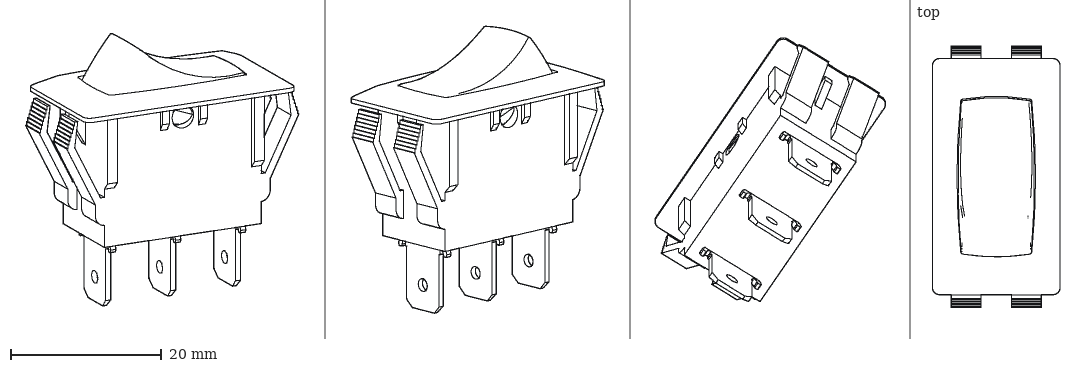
import cadquery as cq
import math

OVERLAP = 0.3

BODY_HALF_X = 6.0
BODY_HALF_Y = 11.72
BODY_BOTTOM = -18.5

BEZEL_HALF_X = 8.5
BEZEL_HALF_Y = 15.7
RIM_HEIGHT = 0.6
BEZEL_TOP = 2.08
BEZEL_CORNER_RADIUS = 1.0
BEZEL_TOP_RADIUS = 1.0
TOP_CORNER = (6.5, 12.3)
TOP_BOW = (0.77, 0.45)

OPENING_CORNER = (4.7, 10.25)
OPENING_BOW = (0.52, 0.4)
OPENING_FLOOR = 0.0
OPENING_CORNER_RADIUS = 0.35

ROCKER_TOP_LIMIT = 9.0
ROCKER_CORNER_X = 4.62
ROCKER_SIDE_BOW = 0.45
ROCKER_SIDE_TAPER = math.radians(1.5)
ROCKER_LOW_END = 10.05
ROCKER_LOW_END_BOW = 0.42
ROCKER_BACK_BOW = 0.55
ROCKER_EDGE_RADIUS = 0.25
BACK_FACE = ((-11.05, 0.0), (-8.4, 4.5), (-4.7, ROCKER_TOP_LIMIT))
FINGER_HIGH_END = (-6.6, 8.93)
FINGER_MIDDLE = (0.0, 3.92)
FINGER_LOW_END = (11.0, 2.45)

PIVOT_Z = -1.93
PIVOT_HOLE_DIAMETER = 3.2
PIVOT_PIN_DIAMETER = 2.95
PIVOT_HOLE_DEPTH = 1.5
PIVOT_PIN_RECESS = 0.15
PIVOT_BEVEL_TILT = 20.0
PIVOT_BEVEL_ANGLE = 30.0
PIVOT_BEVEL_START = 0.55

PIVOT_RIB_HEIGHT = 0.6
CORNER_RIB_HEIGHT = 0.9
PIVOT_RIB_INNER_Y = 2.32
PIVOT_RIB_OUTER_Y = 3.38
PIVOT_RIB_BOTTOM = -3.43
CORNER_RIB_INNER_Y = 10.23
CORNER_RIB_BOTTOM = -10.4
RIB_RAMP_DROP = 0.97

GUSSET_WIDTH = 1.06
GUSSET_TIP_Y = 14.2
GUSSET_TIP_Z = -1.57
GUSSET_BOTTOM = -5.74

CLIP_INNER_X = 2.0
CLIP_OUTER_X = BODY_HALF_X
CLIP_ROOT_Y = 13.07
CLIP_ROOT_RADIUS = 1.5
CLIP_ROOT_BOTTOM = -15.45
CLIP_ROOT_TOP = -12.4
CLIP_NOTCH = (12.3, -11.53)
CLIP_PEAK = (17.35, -4.02)
CLIP_INNER_BEND = (16.15, CLIP_PEAK[1])
CLIP_TIP_INNER_Y = 15.7
CLIP_TIP_OUTER_Y = 16.17
CLIP_TIP_Z = -0.45
CLIP_STEPS = 7

TERMINAL_PITCH = 9.7
TERMINAL_COUNT = 3
TERMINAL_THICKNESS = 0.8
TERMINAL_HALF_WIDTH = 3.15
TERMINAL_BOTTOM = -27.95
TERMINAL_TIP_HALF_WIDTH = 2.12
TERMINAL_TIP_HEIGHT = 1.05
TERMINAL_TIP_BEVEL = 0.12
TERMINAL_TIP_THICKNESS = TERMINAL_THICKNESS - 2 * TERMINAL_TIP_BEVEL
TERMINAL_HOLE_DIAMETER = 1.7
TERMINAL_HOLE_Z = -24.45
SHOULDER_HALF_WIDTH = 3.35
SHOULDER_BOTTOM = -19.7
BARB_ROOT_OUTER_X = 4.32
BARB_OUTER_TIP = (4.66, -19.47)
BARB_BOTTOM = -19.87
BARB_BOTTOM_INNER_X = 4.08
BARB_BOTTOM_OUTER_X = 4.52
BARB_INNER_TIP = (3.95, -19.57)
BARB_INNER_CURVE = (3.7, -18.95)
BARB_INNER_TOP = -18.72


def bowed_outline(z, corner_x, low_corner_y, high_corner_y, bow_x, bow_low_y, bow_high_y):
    """Wire of four arcs at height z, bowed outward between four corners."""
    mid_y = (low_corner_y + high_corner_y) / 2
    return (
        cq.Workplane("XY", origin=(0, 0, z))
        .moveTo(-corner_x, low_corner_y)
        .threePointArc((0, low_corner_y - bow_low_y), (corner_x, low_corner_y))
        .threePointArc((corner_x + bow_x, mid_y), (corner_x, high_corner_y))
        .threePointArc((0, high_corner_y + bow_high_y), (-corner_x, high_corner_y))
        .threePointArc((-corner_x - bow_x, mid_y), (-corner_x, low_corner_y))
        .close()
        .val()
    )


def symmetric_outline(z, corner, bow):
    """Bowed outline that is symmetric about both X and Y."""
    return bowed_outline(z, corner[0], -corner[1], corner[1], bow[0], bow[1], bow[1])


def loft(wires, ruled):
    return cq.Workplane(cq.Solid.makeLoft(wires, ruled))


def prism_along_x(points, x_low, x_high):
    """Polygon of (Y, Z) points extruded from x_low to x_high."""
    return cq.Workplane("YZ", origin=(x_low, 0, 0)).polyline(points).close().extrude(x_high - x_low)


def mirrored_in_x(shape):
    return shape.union(shape.mirror("YZ"))


def mirrored_in_y(shape):
    return shape.union(shape.mirror("XZ"))


def make_bezel():
    rim_outline = (
        cq.Workplane("XY", origin=(0, 0, RIM_HEIGHT))
        .rect(2 * BEZEL_HALF_X, 2 * BEZEL_HALF_Y)
        .val()
    )
    slope = loft([rim_outline, symmetric_outline(BEZEL_TOP, TOP_CORNER, TOP_BOW)], ruled=True)
    rim = (
        cq.Workplane("XY")
        .rect(2 * BEZEL_HALF_X, 2 * BEZEL_HALF_Y)
        .extrude(RIM_HEIGHT)
    )
    bezel = rim.union(slope)
    bezel = bezel.edges("not (>Z or |X or |Y)").fillet(BEZEL_CORNER_RADIUS)
    return bezel.faces(">Z").edges().fillet(BEZEL_TOP_RADIUS)


def make_opening():
    outline = symmetric_outline(OPENING_FLOOR, OPENING_CORNER, OPENING_BOW)
    height = cq.Vector(0, 0, BEZEL_TOP - OPENING_FLOOR + OVERLAP)
    opening = cq.Workplane(cq.Solid.extrudeLinear(outline, [], height))
    return opening.edges("|Z").fillet(OPENING_CORNER_RADIUS)


def make_rocker():
    sections = []
    for back_y, z in BACK_FACE:
        corner_x = ROCKER_CORNER_X - z * math.tan(ROCKER_SIDE_TAPER)
        sections.append(bowed_outline(
            z, corner_x, back_y + ROCKER_BACK_BOW, ROCKER_LOW_END,
            ROCKER_SIDE_BOW, ROCKER_BACK_BOW, ROCKER_LOW_END_BOW,
        ))
    block = loft(sections, ruled=False)
    above_finger_surface = (
        cq.Workplane("YZ", origin=(-BEZEL_HALF_X, 0, 0))
        .moveTo(*FINGER_HIGH_END)
        .threePointArc(FINGER_MIDDLE, FINGER_LOW_END)
        .lineTo(FINGER_LOW_END[0], 2 * ROCKER_TOP_LIMIT)
        .lineTo(FINGER_HIGH_END[0], 2 * ROCKER_TOP_LIMIT)
        .close()
        .extrude(2 * BEZEL_HALF_X)
    )
    rocker = block.cut(above_finger_surface)
    return rocker.edges("not <Z").fillet(ROCKER_EDGE_RADIUS)


def make_pivot():
    """Returns the hole and the bevelled pin inside it, on the -X side."""
    hole_floor = BODY_HALF_X - PIVOT_HOLE_DEPTH
    side = cq.Workplane("YZ", origin=(-BODY_HALF_X, 0, PIVOT_Z))
    hole = side.circle(PIVOT_HOLE_DIAMETER / 2).extrude(PIVOT_HOLE_DEPTH)
    pin_end = -BODY_HALF_X + PIVOT_PIN_RECESS
    pin = (
        cq.Workplane("YZ", origin=(pin_end, 0, PIVOT_Z))
        .circle(PIVOT_PIN_DIAMETER / 2)
        .extrude(-hole_floor + OVERLAP - pin_end)
    )
    reach = 2 * PIVOT_PIN_DIAMETER
    bevel = (
        cq.Workplane("XY")
        .box(reach, 2 * reach, reach, centered=(False, True, False))
        .translate((-reach, 0, -reach))
        .rotate((0, 0, 0), (0, 1, 0), -PIVOT_BEVEL_ANGLE)
        .translate((pin_end, 0, PIVOT_BEVEL_START))
        .rotate((0, 0, 0), (1, 0, 0), -PIVOT_BEVEL_TILT)
        .translate((0, 0, PIVOT_Z))
    )
    return hole, pin.cut(bevel)


def make_side_rib(inner_y, outer_y, bottom, height):
    """Rib on the +X side with a ramped lower end."""
    base_x = BODY_HALF_X - OVERLAP
    crest_x = BODY_HALF_X + height
    profile = [
        (base_x, OVERLAP),
        (crest_x, OVERLAP),
        (crest_x, bottom + RIB_RAMP_DROP),
        (BODY_HALF_X, bottom),
        (base_x, bottom),
    ]
    return (
        cq.Workplane("XZ", origin=(0, outer_y, 0))
        .polyline(profile)
        .close()
        .extrude(outer_y - inner_y)
    )


def make_side_ribs():
    pivot_rib = make_side_rib(
        PIVOT_RIB_INNER_Y, PIVOT_RIB_OUTER_Y, PIVOT_RIB_BOTTOM, PIVOT_RIB_HEIGHT
    )
    corner_rib = make_side_rib(
        CORNER_RIB_INNER_Y, BODY_HALF_Y, CORNER_RIB_BOTTOM, CORNER_RIB_HEIGHT
    )
    return mirrored_in_x(mirrored_in_y(pivot_rib.union(corner_rib)))


def make_gussets():
    base_y = BODY_HALF_Y - OVERLAP
    profile = [
        (base_y, OVERLAP),
        (GUSSET_TIP_Y, OVERLAP),
        (GUSSET_TIP_Y, GUSSET_TIP_Z),
        (BODY_HALF_Y, GUSSET_BOTTOM),
        (base_y, GUSSET_BOTTOM),
    ]
    return mirrored_in_y(prism_along_x(profile, -GUSSET_WIDTH / 2, GUSSET_WIDTH / 2))


def make_clips():
    """Spring arm with a serrated finger grip, repeated at the four places."""
    base_y = BODY_HALF_Y - OVERLAP
    step_y = (CLIP_PEAK[0] - CLIP_TIP_OUTER_Y) / CLIP_STEPS
    step_z = (CLIP_PEAK[1] - CLIP_TIP_Z) / CLIP_STEPS
    arc_offset = CLIP_ROOT_RADIUS * (1 - math.sqrt(0.5))

    profile = (
        cq.Workplane("YZ", origin=(CLIP_INNER_X, 0, 0))
        .moveTo(base_y, CLIP_NOTCH[1])
        .lineTo(*CLIP_NOTCH)
        .lineTo(*CLIP_INNER_BEND)
        .lineTo(CLIP_TIP_INNER_Y, CLIP_TIP_Z)
        .lineTo(CLIP_TIP_OUTER_Y, CLIP_TIP_Z)
    )
    for step in range(CLIP_STEPS):
        y = CLIP_TIP_OUTER_Y + step * step_y
        z = CLIP_TIP_Z + (step + 1) * step_z
        profile = profile.lineTo(y, z).lineTo(y + step_y, z)
    clip = (
        profile
        .lineTo(CLIP_ROOT_Y, CLIP_ROOT_TOP)
        .lineTo(CLIP_ROOT_Y, CLIP_ROOT_BOTTOM + CLIP_ROOT_RADIUS)
        .threePointArc(
            (CLIP_ROOT_Y - arc_offset, CLIP_ROOT_BOTTOM + arc_offset),
            (CLIP_ROOT_Y - CLIP_ROOT_RADIUS, CLIP_ROOT_BOTTOM),
        )
        .lineTo(base_y, CLIP_ROOT_BOTTOM)
        .close()
        .extrude(CLIP_OUTER_X - CLIP_INNER_X)
    )
    return mirrored_in_x(mirrored_in_y(clip))


def make_barb():
    """Curved retaining barb beside the shoulder of a terminal, on the +X side."""
    base_x = SHOULDER_HALF_WIDTH - OVERLAP
    return (
        cq.Workplane("XZ", origin=(0, TERMINAL_THICKNESS / 2, 0))
        .moveTo(base_x, BODY_BOTTOM + OVERLAP)
        .lineTo(BARB_ROOT_OUTER_X, BODY_BOTTOM + OVERLAP)
        .lineTo(BARB_ROOT_OUTER_X, BODY_BOTTOM)
        .lineTo(*BARB_OUTER_TIP)
        .lineTo(BARB_BOTTOM_OUTER_X, BARB_BOTTOM)
        .lineTo(BARB_BOTTOM_INNER_X, BARB_BOTTOM)
        .lineTo(*BARB_INNER_TIP)
        .threePointArc(BARB_INNER_CURVE, (SHOULDER_HALF_WIDTH, BARB_INNER_TOP))
        .lineTo(base_x, BARB_INNER_TOP)
        .close()
        .extrude(TERMINAL_THICKNESS)
    )


def make_terminal():
    half_thickness = TERMINAL_THICKNESS / 2
    tip_start = TERMINAL_BOTTOM + TERMINAL_TIP_HEIGHT
    root = BODY_BOTTOM + OVERLAP
    outline = [
        (-SHOULDER_HALF_WIDTH, root),
        (-SHOULDER_HALF_WIDTH, SHOULDER_BOTTOM),
        (-TERMINAL_HALF_WIDTH, SHOULDER_BOTTOM),
        (-TERMINAL_HALF_WIDTH, tip_start),
        (-TERMINAL_TIP_HALF_WIDTH, TERMINAL_BOTTOM),
    ]
    outline += [(-x, z) for x, z in reversed(outline)]
    blade = (
        cq.Workplane("XZ", origin=(0, half_thickness, 0))
        .polyline(outline)
        .close()
        .extrude(TERMINAL_THICKNESS)
    )
    edge_view = [
        (-half_thickness, root),
        (-half_thickness, tip_start),
        (-TERMINAL_TIP_THICKNESS / 2, TERMINAL_BOTTOM),
        (TERMINAL_TIP_THICKNESS / 2, TERMINAL_BOTTOM),
        (half_thickness, tip_start),
        (half_thickness, root),
    ]
    blade = blade.intersect(prism_along_x(edge_view, -BODY_HALF_X, BODY_HALF_X))
    hole = (
        cq.Workplane("XZ", origin=(0, half_thickness, TERMINAL_HOLE_Z))
        .circle(TERMINAL_HOLE_DIAMETER / 2)
        .extrude(TERMINAL_THICKNESS)
    )
    return blade.cut(hole).union(mirrored_in_x(make_barb()))


def make_terminals():
    terminal = make_terminal()
    first_y = -TERMINAL_PITCH * (TERMINAL_COUNT - 1) / 2
    terminals = cq.Workplane("XY")
    for index in range(TERMINAL_COUNT):
        terminals = terminals.union(terminal.translate((0, first_y + index * TERMINAL_PITCH, 0)))
    return terminals


body = (
    cq.Workplane("XY", origin=(0, 0, BODY_BOTTOM))
    .rect(2 * BODY_HALF_X, 2 * BODY_HALF_Y)
    .extrude(OPENING_FLOOR - BODY_BOTTOM)
)
pivot_hole, pivot_pin = make_pivot()

housing = body.union(make_bezel()).union(make_side_ribs()).union(make_gussets()).union(make_clips())
housing = housing.cut(make_opening()).cut(mirrored_in_x(pivot_hole))

result = (
    housing
    .union(mirrored_in_x(pivot_pin))
    .union(make_rocker())
    .union(make_terminals())
)